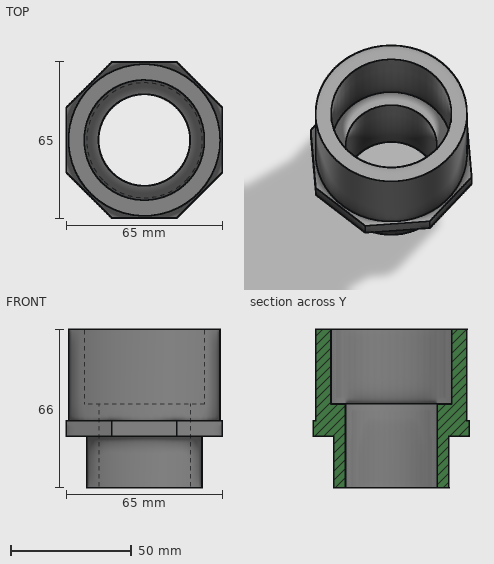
import cadquery as cq
import math

total_height = 66.0
spigot_height = 21.45
collar_height = 6.55
socket_depth = 31.0

spigot_diameter = 48.0
body_diameter = 63.0
socket_diameter = 50.0
bore_diameter = 38.0
collar_across_flats = 65.0
collar_sides = 8

collar_top = spigot_height + collar_height
body_height = total_height - collar_top


def cylinder(diameter, bottom, height):
    """Vertical cylinder centred on the Z axis."""
    return cq.Workplane("XY").workplane(offset=bottom).circle(diameter / 2).extrude(height)


def octagonal_collar():
    """Regular octagonal collar with flats facing X and Y."""
    half_side_angle = 180 / collar_sides
    across_corners = collar_across_flats / math.cos(math.radians(half_side_angle))
    return (
        cq.Workplane("XY")
        .workplane(offset=spigot_height)
        .polygon(collar_sides, across_corners)
        .extrude(collar_height)
        .rotate((0, 0, 0), (0, 0, 1), half_side_angle)
    )


spigot = cylinder(spigot_diameter, 0, spigot_height)
body = cylinder(body_diameter, collar_top, body_height)
outer = spigot.union(octagonal_collar()).union(body)

bore = cylinder(bore_diameter, 0, total_height)
socket = cylinder(socket_diameter, total_height - socket_depth, socket_depth)
result = outer.cut(bore).cut(socket)